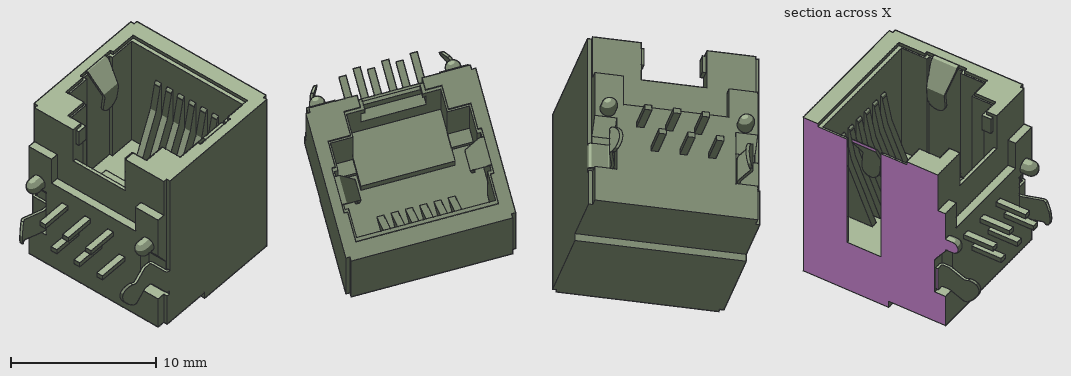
import cadquery as cq
import math


height = 14.0
half_width = 6.05
side_sheet = 0.3
core_half = half_width - side_sheet
back_y = 11.7
wall_front_y = 0.62
panel_front_y = 0.93
foot_height = 0.55
foot_front_y = 4.68
tab_top_z = 10.77
block_top_z = 8.5
tab_inner_x = 3.73

rim_z = 13.73
floor_z = 4.35
step_z = 5.08
stop_z = 5.93
channel_z = 9.31
cavity_half = 4.95
cavity_front_y = 3.33
cavity_back_y = 10.16
ear_half = 5.2
ear_front_y = 5.32
ear_back_y = 8.07
latch_half = 3.36
latch_front_y = 1.68
mouth_gap = 0.13
mouth_front_gap = 0.2
mouth_back_gap = 0.31
mouth_ear_gap = 0.25
step_back_y = 4.32
stop_back_y = 5.43

slot_half = 2.31
slot_bottom_z = 11.02
slot_wall_back_y = 0.87
guide_width = 0.25
guide_bottom_z = 12.42

contact_count = 6
pitch = 1.02
contact_width = 0.51
contact_top_z = 11.33
contact_nose_mid = (10.03, 11.25)
contact_nose_end = (9.99, 11.06)
contact_kink = (9.55, 9.07)
contact_root_y = 7.45
tail_thickness = 0.38
tail_length = 2.41
upper_tail_z = 7.01
lower_tail_z = 5.23

peg_x = 4.84
peg_z = 7.95
peg_radius = 0.55
peg_shank = 0.55

notch_inner_x = 4.2
notch_floor_y = 0.87
notch_bottom_z = 3.25
notch_ramp_z = 6.15
notch_top_z = 7.34
sheet = 0.2
clip_bottom_z = 3.51
clip_top_z = 5.46
clip_tip_rise = 0.62
clip_leg_x = 4.47
clip_knee = (5.0, -1.58)
clip_tip_x = 4.37
clip_bends = (0.14, 0.17, 0.35, 0.35)

spring_y = 6.7
spring_base_half = 1.02
spring_elbow_half = 0.73
spring_root_z = 13.88
spring_shoulder_x = 5.14
spring_elbow_x = 3.98
spring_elbow_z = 12.13
spring_tip_x = 4.2
spring_tip_z = 10.38
spring_bends = (0.31, 0.35)

overlap = 0.14


def box(x0, x1, y0, y1, z0, z1):
    return cq.Workplane("XY").box(x1 - x0, y1 - y0, z1 - z0, centered=False).translate((x0, y0, z0))


def centred_box(half, y0, y1, z0, z1):
    return box(-half, half, y0, y1, z0, z1)


def both_sides(body):
    return body.union(body.mirror("YZ"))


def bent_strip(plane, points, bends, thickness, depth):
    """Sheet strip along a centre line, with a centre-line radius at every inner point.

    Each face is a list of stretches: a single end point, or the start, middle and end of a bend arc.
    """

    def unit(a, b):
        length = math.dist(a, b)
        return ((b[0] - a[0]) / length, (b[1] - a[1]) / length)

    def face(offset):
        first = unit(points[0], points[1])
        stretches = [((points[0][0] - first[1] * offset, points[0][1] + first[0] * offset),)]
        for before, corner, after, radius in zip(points, points[1:], points[2:], bends):
            u = unit(before, corner)
            v = unit(corner, after)
            cross = u[0] * v[1] - u[1] * v[0]
            side = math.copysign(1, cross)
            turn = math.acos(u[0] * v[0] + u[1] * v[1])
            run = radius * math.tan(turn / 2)
            start = (corner[0] - u[0] * run, corner[1] - u[1] * run)
            centre = (start[0] - side * u[1] * radius, start[1] + side * u[0] * radius)
            outward = unit(centre, corner)
            reach = radius - side * offset
            end = (corner[0] + v[0] * run, corner[1] + v[1] * run)
            stretches.append((
                (start[0] - u[1] * offset, start[1] + u[0] * offset),
                (centre[0] + outward[0] * reach, centre[1] + outward[1] * reach),
                (end[0] - v[1] * offset, end[1] + v[0] * offset),
            ))
        last = unit(points[-2], points[-1])
        stretches.append(((points[-1][0] - last[1] * offset, points[-1][1] + last[0] * offset),))
        return stretches

    there = face(thickness / 2)
    back = [stretch[::-1] for stretch in face(-thickness / 2)[::-1]]
    outline = cq.Workplane(plane).moveTo(*there[0][0])
    for stretch in there[1:] + back:
        outline = outline.lineTo(*stretch[0])
        if len(stretch) == 3:
            outline = outline.threePointArc(stretch[1], stretch[2])
    return outline.close().extrude(depth)


def housing():
    core = centred_box(core_half, wall_front_y, back_y, foot_height, height)
    sides = centred_box(half_width, panel_front_y, back_y - side_sheet, foot_height, height)
    lower_sides = centred_box(half_width, wall_front_y, panel_front_y + overlap, foot_height, clip_top_z)
    foot = centred_box(half_width, foot_front_y, back_y - side_sheet, 0, foot_height + overlap)
    back_foot = centred_box(core_half, foot_front_y, back_y, 0, foot_height + overlap)
    block = centred_box(core_half, 0, wall_front_y + overlap, foot_height, block_top_z)
    tab = box(tab_inner_x, core_half, 0, wall_front_y + overlap, foot_height, tab_top_z)
    body = core.union(sides).union(lower_sides).union(foot).union(back_foot)
    return body.union(block).union(both_sides(tab))


def plug_cavity():
    main = centred_box(cavity_half, cavity_front_y, cavity_back_y, floor_z, height)
    ears = centred_box(ear_half, ear_front_y, ear_back_y, floor_z, height)
    latch = centred_box(latch_half, latch_front_y, cavity_front_y + overlap, stop_z, height)
    channel = centred_box(slot_half, slot_wall_back_y, latch_front_y + overlap, channel_z, height)
    slot = centred_box(slot_half, wall_front_y - overlap, latch_front_y, slot_bottom_z, height)
    cavity = main.union(ears).union(latch).union(channel).union(slot)

    stop = centred_box(latch_half, cavity_front_y, stop_back_y, floor_z, stop_z)
    steps = centred_box(cavity_half, cavity_front_y, step_back_y, floor_z, step_z)
    guide = box(slot_half - guide_width, slot_half, panel_front_y, latch_front_y, guide_bottom_z, rim_z)
    return cavity.cut(stop).cut(steps).cut(both_sides(guide))


def cavity_mouth():
    main = centred_box(
        cavity_half + mouth_gap, cavity_front_y - mouth_gap, cavity_back_y + mouth_back_gap, rim_z, height
    )
    ears = centred_box(
        ear_half + mouth_gap, ear_front_y - mouth_ear_gap, ear_back_y + mouth_ear_gap, rim_z, height
    )
    latch_y = latch_front_y - mouth_front_gap
    latch = centred_box(latch_half + mouth_gap, latch_y, cavity_front_y, rim_z, height)
    return main.union(ears).union(latch)


def contact(x):
    """Wedge-shaped contact on the back wall of the cavity."""
    left = x - contact_width / 2
    return (
        cq.Workplane("YZ", origin=(left, 0, 0))
        .moveTo(cavity_back_y + overlap, contact_top_z)
        .lineTo(cavity_back_y, contact_top_z)
        .threePointArc(contact_nose_mid, contact_nose_end)
        .lineTo(*contact_kink)
        .lineTo(contact_root_y, floor_z - overlap)
        .lineTo(cavity_back_y + overlap, floor_z - overlap)
        .close()
        .extrude(contact_width)
    )


def tail(x, z):
    half = contact_width / 2
    half_thickness = tail_thickness / 2
    return box(x - half, x + half, -tail_length, overlap, z - half_thickness, z + half_thickness)


def peg():
    """Round peg with a hemispherical end."""
    return (
        cq.Workplane("XY", origin=(peg_x, 0, peg_z))
        .moveTo(0, overlap)
        .lineTo(peg_radius, overlap)
        .lineTo(peg_radius, -peg_shank)
        .radiusArc((0, -peg_shank - peg_radius), peg_radius)
        .close()
        .revolve(360, (0, 0), (0, 1))
    )


def clip_notch():
    """Corner notch with a sloped upper end."""
    return (
        cq.Workplane("YZ", origin=(notch_inner_x, 0, 0))
        .moveTo(0, notch_top_z)
        .lineTo(notch_floor_y, notch_ramp_z)
        .lineTo(notch_floor_y, notch_bottom_z)
        .lineTo(-overlap, notch_bottom_z)
        .lineTo(-overlap, notch_top_z)
        .close()
        .extrude(half_width)
    )


def board_clip():
    """Sheet clip: wraps in from the side sheet, then runs out past the mounting face and kinks inward."""
    strap_x = half_width - sheet / 2
    plate_y = wall_front_y + sheet / 2
    path = [
        (strap_x, panel_front_y + overlap),
        (strap_x, plate_y),
        (clip_leg_x, plate_y),
        (clip_leg_x, 0),
        clip_knee,
        (clip_tip_x, -tail_length - overlap),
    ]
    strip = bent_strip("XY", path, clip_bends, sheet, clip_top_z - clip_bottom_z)
    tip_start_y = clip_tip_rise - tail_length
    rounded = (
        cq.Workplane("YZ")
        .moveTo(back_y, clip_bottom_z)
        .lineTo(tip_start_y, clip_bottom_z)
        .threePointArc((-tail_length, (clip_bottom_z + clip_top_z) / 2), (tip_start_y, clip_top_z))
        .lineTo(back_y, clip_top_z)
        .close()
        .extrude(half_width)
    )
    return strip.translate((0, 0, clip_bottom_z)).intersect(rounded)


def side_spring():
    """Sheet spring held in the side wall, sloping down into the cavity and back to a rounded tip."""
    path = [
        (core_half, spring_root_z),
        (spring_shoulder_x, spring_root_z),
        (spring_elbow_x, spring_elbow_z),
        (spring_tip_x, spring_tip_z),
    ]
    strip = bent_strip("XZ", path, spring_bends, sheet, 2 * spring_base_half)
    outline = (
        cq.Workplane("YZ")
        .moveTo(-spring_base_half, height)
        .lineTo(-spring_base_half, rim_z)
        .lineTo(-spring_elbow_half, spring_elbow_z)
        .lineTo(-spring_elbow_half, spring_tip_z + spring_elbow_half)
        .threePointArc((0, spring_tip_z), (spring_elbow_half, spring_tip_z + spring_elbow_half))
        .lineTo(spring_elbow_half, spring_elbow_z)
        .lineTo(spring_base_half, rim_z)
        .lineTo(spring_base_half, height)
        .close()
        .extrude(half_width)
    )
    return strip.translate((0, spring_base_half, 0)).intersect(outline).translate((0, spring_y, 0))


result = housing().cut(plug_cavity()).cut(cavity_mouth()).cut(both_sides(clip_notch()))

for index in range(contact_count):
    x = (index - (contact_count - 1) / 2) * pitch
    tail_z = upper_tail_z if index % 2 == 0 else lower_tail_z
    result = result.union(contact(x)).union(tail(x, tail_z))

for feature in (peg(), board_clip(), side_spring()):
    result = result.union(both_sides(feature))